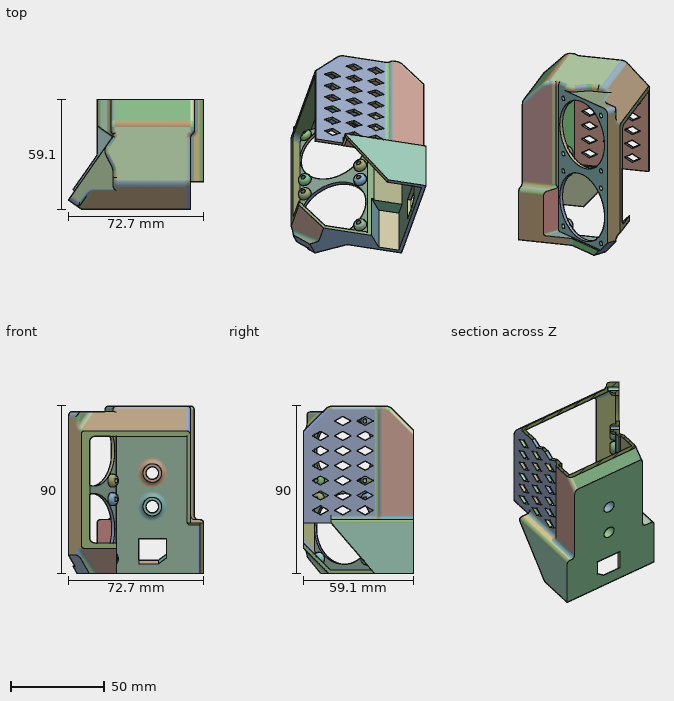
import cadquery as cq
import math

WALL = 2.0
OVER = 1.0
NEAR = 0.01

DEPTH = 59.1
HEIGHT = 90.0
FRONT_SHOULDER = 13.4
BACK_SHOULDER = 12.9
SHOULDER_ROUND = 5.0
SIDE_ROUND = 2.0
HOOD_BOTTOM = 27.2
HOOD_LEFT = 23.9
HOOD_RIGHT = 65.7
REAR_LEFT = 22.9
REAR_RIGHT = 67.7
REAR_FRONT_Y = 39.5
REAR_ROUND = 2.2
REAR_HOLLOW = 2.2
WALL_FOOT_ROUND = 2.0

BOX_LEFT = 15.4
BOX_RIGHT = 72.69
BOX_FRONT_Y = 14.8
BOX_SIDE_Y = 33.0
BOX_TOP = 29.1
BOX_CEILING = 26.1
BOX_ROUND = 2.0
BOX_INNER_ROUND = 1.0
BRACE_FOOT_Y = 38.2

PLATE_ANGLE = math.radians(55.0)
PLATE_END = (0.0, 5.0)
FAN_SIZE = 40.0
FAN_MARGIN = 1.6
FAN_SEAT_Z = 4.0
FAN_PITCH = 42.0
FAN_OPENING = 38.0
SCREW_PITCH = 32.0
SCREW_HOLE = 2.4
SCREW_BOSS = 7.0
SCREW_BOSS_HEIGHT = 3.0
SCREW_BOSS_ROUND = 2.0
FAN_ALONG = FAN_MARGIN + FAN_SIZE / 2
FAN_FAR_EDGE = FAN_MARGIN + FAN_SIZE
FAN_HEIGHTS = [FAN_SEAT_Z + FAN_SIZE / 2 + i * FAN_PITCH for i in range(2)]

DUCT_TOP = 87.0
DUCT_FRONT_CHAMFER = 13.6
DUCT_END_WALL = 2.5
DUCT_INNER_ROUND = 5.0
RIM_DEPTH = 6.8
RIM_COVE = 2.5
RIM_ROUND = 2.1
DUCT_TOP_ROUND = 1.5
END_CHAMFER = 10.0
END_ROUND = 3.0
LIP = 1.2
LIP_ROUND = 3.0
RECESS_ROUND = 1.0

SWELL_ROOT_Y = 17.0
SWELL_START_Y = 21.8
SWELL_APEX_Y = 31.8
SWELL_END_Y = 39.4
SWELL_CREST_ROUND = 5.5
SWELL_START_ROUND = 6.0

VENT_WIDTH = 8.7
VENT_HEIGHT = 4.8
VENT_COLUMNS = [9.1, 21.1, 33.1]
VENT_ROW_START = 34.0
VENT_ROW_PITCH = 8.0
VENT_ROWS = 7

STUD_X = 45.1
STUD_HEIGHTS = [36.0, 54.0]
STUD_DIAMETER = 10.0
STUD_HOLE = 6.6
STUD_FLARE = 3.0
STUD_HEIGHT = 7.0
PORT_LEFT, PORT_RIGHT = 37.9, 52.6
PORT_BOTTOM, PORT_TOP = 5.3, 18.7
PORT_CORNER_X, PORT_CORNER_Z = 4.2, 3.1


def plate_point(along, inward):
    """Plan position at a distance along the fan plate and behind its outer face."""
    c, s = math.cos(PLATE_ANGLE), math.sin(PLATE_ANGLE)
    return (PLATE_END[0] + along * c + inward * s, PLATE_END[1] + along * s - inward * c)


def plate_position(point):
    """Distances of a point along the fan plate and behind its outer face."""
    c, s = math.cos(PLATE_ANGLE), math.sin(PLATE_ANGLE)
    x, y = point.x - PLATE_END[0], point.y - PLATE_END[1]
    return (x * c + y * s, x * s - y * c)


def plate_plane(along, inward, z):
    """Plane parallel to the fan plate: local X along it, local Z pointing inwards."""
    x, y = plate_point(along, inward)
    c, s = math.cos(PLATE_ANGLE), math.sin(PLATE_ANGLE)
    return cq.Plane(origin=(x, y, z), xDir=(c, s, 0), normal=(s, -c, 0))


def prism_z(points, bottom, top):
    return cq.Workplane("XY").workplane(offset=bottom).polyline(points).close().extrude(top - bottom)


def prism_x(points, left, right):
    """Extrude an outline of (y, z) points from left to right."""
    return cq.Workplane("YZ").workplane(offset=left).polyline(points).close().extrude(right - left)


def block(x0, x1, y0, y1, z0, z1):
    return cq.Workplane("XY").box(x1 - x0, y1 - y0, z1 - z0, centered=False).translate((x0, y0, z0))


def hood_outline(inset, bottom, front_y):
    """(y, z) outline of the hood, moved inwards by a wall thickness."""
    slant = inset * math.sqrt(2)
    roof = HEIGHT - inset
    back = DEPTH - inset
    back_corner = DEPTH - BACK_SHOULDER + inset - slant
    outline = [(front_y, bottom)]
    start = FRONT_SHOULDER - HEIGHT + slant
    if front_y < start + roof:
        outline.append((front_y, front_y - start))
        outline.append((start + roof, roof))
    else:
        outline.append((front_y, roof))
    outline.append((back_corner, roof))
    outline.append((back, roof - (back - back_corner)))
    outline.append((back, bottom))
    return outline


def hood():
    right_step = REAR_RIGHT - HOOD_RIGHT
    left_step = HOOD_LEFT - REAR_LEFT
    rear_y = REAR_FRONT_Y + right_step
    plan = prism_z([(HOOD_LEFT, 0), (HOOD_RIGHT, 0), (HOOD_RIGHT, REAR_FRONT_Y), (REAR_RIGHT, rear_y),
                    (REAR_RIGHT, DEPTH), (REAR_LEFT, DEPTH), (REAR_LEFT, rear_y),
                    (HOOD_LEFT, rear_y - left_step)], HOOD_BOTTOM, HEIGHT)
    middle = HEIGHT / 2
    for x, y, radius in [(REAR_RIGHT, rear_y, REAR_ROUND), (REAR_LEFT, rear_y, REAR_ROUND),
                         (HOOD_RIGHT, REAR_FRONT_Y, REAR_HOLLOW)]:
        plan = plan.edges(cq.selectors.NearestToPointSelector((x, y, middle))).fillet(radius)

    profile = prism_x(hood_outline(0, HOOD_BOTTOM, 0), 0, BOX_RIGHT)
    for y in (FRONT_SHOULDER, DEPTH - BACK_SHOULDER):
        corner = (BOX_RIGHT / 2, y, HEIGHT)
        profile = profile.edges(cq.selectors.NearestToPointSelector(corner)).fillet(SHOULDER_ROUND)

    body = plan.intersect(profile)
    return body.newObject([e for e in body.edges().vals() if is_side_edge(e)]).fillet(SIDE_ROUND)


def is_side_edge(edge):
    """Edge along one end of the roof or of a shoulder."""
    box = edge.BoundingBox()
    side = box.xlen < HOOD_RIGHT - HOOD_LEFT - 2 * SIDE_ROUND
    upright = box.xlen < NEAR and box.ylen < NEAR
    return side and not upright and box.zmin > HEIGHT / 2


def roof_swelling():
    apex, end = [plate_point((y - PLATE_END[1]) / math.sin(PLATE_ANGLE), 0)
                 for y in (SWELL_APEX_Y, SWELL_END_Y)]
    start = (HOOD_LEFT, SWELL_START_Y)
    inner_x = HOOD_LEFT + 3 * SIDE_ROUND
    points = [(inner_x, SWELL_ROOT_Y), (HOOD_LEFT, SWELL_ROOT_Y), start, apex, end,
              (inner_x, SWELL_END_Y)]
    swelling = prism_z(points, DUCT_TOP - WALL, HEIGHT)
    for corner, radius in [(start, SWELL_START_ROUND), (apex, SWELL_CREST_ROUND)]:
        swelling = swelling.edges(cq.selectors.NearestToPointSelector(
            (*corner, DUCT_TOP))).fillet(radius)
    outer = swelling.faces(">Z").edges("not(>X)").edges("not(>Y)").edges("not(<Y)")
    return swelling.newObject(outer.vals()).fillet(SIDE_ROUND - NEAR)


def lower_box():
    inner_x = HOOD_LEFT + WALL + OVER
    points = [(BOX_LEFT, DEPTH), (BOX_RIGHT, DEPTH), (BOX_RIGHT, BOX_FRONT_Y),
              (inner_x, BOX_FRONT_Y), (inner_x, BOX_SIDE_Y), (BOX_LEFT, BOX_SIDE_Y)]
    box = prism_z(points, 0, BOX_TOP)
    return box.faces(">Z").edges("<X or >X").fillet(BOX_ROUND)


def walls():
    """Hood standing on the box, with a cove along the foot of its side walls."""
    body = hood().union(lower_box())
    feet = [e for e in body.edges("|Y").vals()
            if abs(e.Center().z - BOX_TOP) < NEAR
            and min(abs(e.Center().x - x) for x in (REAR_LEFT, REAR_RIGHT)) < NEAR]
    return body.newObject(feet).fillet(WALL_FOOT_ROUND)


def duct():
    right = HOOD_LEFT + WALL
    far = FAN_FAR_EDGE + WALL
    end_depth = PLATE_END[1] / math.cos(PLATE_ANGLE)
    far_y = plate_point(far, 0)[1]
    plan = [plate_point(0, 0), plate_point(far, 0), (right + OVER, far_y),
            (right + OVER, 0), plate_point(0, end_depth)]
    slope = DUCT_TOP - (HEIGHT - FRONT_SHOULDER)
    section = [(0, DUCT_FRONT_CHAMFER), (0, HEIGHT - FRONT_SHOULDER), (slope, DUCT_TOP),
               (DEPTH, DUCT_TOP), (DEPTH, 0), (DUCT_FRONT_CHAMFER, 0)]
    body = prism_z(plan, 0, DUCT_TOP).intersect(prism_x(section, -OVER, DEPTH))
    rim = prism_z([plate_point(0, 0), plate_point(far, 0),
                   plate_point(far, RIM_DEPTH), plate_point(0, RIM_DEPTH)], 0, DUCT_TOP)
    body = body.union(rim)
    body = body.newObject([e for e in body.edges().vals() if is_cove_edge(e)]).fillet(RIM_COVE)
    body = body.newObject([e for e in body.edges().vals() if is_rim_corner(e)]).fillet(RIM_ROUND)
    body = body.newObject([e for e in body.edges().vals() if is_roof_edge(e)]).fillet(DUCT_TOP_ROUND)
    body = body.union(lip())
    body = body.intersect(end_profile(far + WALL))
    return body.intersect(block(-OVER, right, -OVER, DEPTH, 0, HEIGHT))


def is_cove_edge(edge):
    """Slanting edge where the back of the rim meets a front chamfer."""
    a, b = edge.startPoint(), edge.endPoint()
    on_rim = all(abs(plate_position(p)[1] - RIM_DEPTH) < NEAR for p in (a, b))
    return on_rim and abs(a.z - b.z) > NEAR and abs(a.x - b.x) > NEAR


def is_rim_corner(edge):
    """Free upright edge of the rim, above or below the front opening."""
    along, inward = plate_position(edge.positionAt(0.5))
    return abs(along) < NEAR and abs(inward - RIM_DEPTH) < NEAR


def is_roof_edge(edge):
    """Edge of the duct roof on the side facing the hood."""
    middle = edge.positionAt(0.5)
    along, inward = plate_position(middle)
    level = abs(middle.z - DUCT_TOP) < NEAR and edge.BoundingBox().zlen < NEAR
    return level and along > NEAR and inward > WALL and middle.x < HOOD_LEFT + WALL


def end_profile(length):
    """Side shape of the plate end: lower corner cut off, upper corner rounded."""
    points = [(END_CHAMFER, 0), (0, END_CHAMFER), (0, DUCT_TOP), (length, DUCT_TOP), (length, 0)]
    depth = 4 * FAN_SIZE
    shape = cq.Workplane(plate_plane(0, -FAN_SIZE, 0)).polyline(points).close().extrude(depth)
    corner = plate_point(0, depth / 2 - FAN_SIZE)
    return shape.edges(cq.selectors.NearestToPointSelector((*corner, DUCT_TOP))).fillet(END_ROUND)


def lip():
    """Ledge below the fans, running from the free end of the plate to the box."""
    bend_along = (BOX_LEFT - plate_point(0, -LIP)[0]) / math.cos(PLATE_ANGLE)
    bend = plate_point(bend_along, -LIP)
    seat = prism_z([plate_point(0, -LIP), bend, (BOX_LEFT, DEPTH - WALL),
                    plate_point(FAN_FAR_EDGE, WALL), plate_point(0, WALL)], 0, FAN_SEAT_Z)
    return seat.edges(cq.selectors.NearestToPointSelector((*bend, FAN_SEAT_Z / 2))).fillet(LIP_ROUND)


def fan_recess():
    """Space in front of the fan plate that is kept free for the fans."""
    reach = FAN_SIZE
    recess = prism_z([plate_point(-reach, 0), plate_point(FAN_FAR_EDGE, 0),
                      plate_point(FAN_FAR_EDGE, -reach), plate_point(-reach, -reach)],
                     FAN_SEAT_Z, HEIGHT + OVER)
    foot = plate_point(FAN_FAR_EDGE, -reach / 2)
    return recess.edges(cq.selectors.NearestToPointSelector((*foot, FAN_SEAT_Z))).fillet(RECESS_ROUND)


def hood_cavity():
    front = prism_x(hood_outline(WALL, -OVER, -OVER), HOOD_LEFT + WALL, HOOD_RIGHT - WALL)
    rear = prism_x(hood_outline(WALL, BOX_CEILING, REAR_FRONT_Y + WALL),
                   REAR_LEFT + WALL, REAR_RIGHT - WALL)
    return front.union(rear)


def box_cavity():
    """Hollow of the box, with the sloping brace and the bevels under its roof."""
    far = FAN_FAR_EDGE + WALL
    left = BOX_LEFT + WALL
    right = BOX_RIGHT - WALL
    inner = plate_point(far, WALL)
    left_depth = (left - plate_point(far, 0)[0]) / math.sin(PLATE_ANGLE)
    back = DEPTH - WALL
    cavity = prism_z([inner, plate_point(far, left_depth), (left, back), (right, back),
                      (right, -OVER), (inner[0], -OVER)], -OVER, BOX_CEILING)
    cavity = cavity.edges("|Z and >X and >Y").fillet(BOX_INNER_ROUND)
    brace = prism_x([(0, HOOD_BOTTOM), (BOX_FRONT_Y, HOOD_BOTTOM), (BRACE_FOOT_Y, 0),
                     (BRACE_FOOT_Y, -OVER), (0, -OVER)], right, BOX_RIGHT + OVER)
    bevel_height = HOOD_BOTTOM - BOX_CEILING
    inner_x = HOOD_RIGHT - WALL
    bevel = (cq.Workplane("XZ", origin=(0, back, 0))
             .polyline([(inner_x, BOX_CEILING), (inner_x, HOOD_BOTTOM),
                        (inner_x + bevel_height, BOX_CEILING)]).close().extrude(DEPTH))
    front_bevel = prism_x([(BOX_FRONT_Y, BOX_CEILING), (BOX_FRONT_Y, HOOD_BOTTOM),
                           (BOX_FRONT_Y + bevel_height, BOX_CEILING)], inner_x, right)
    return cavity.union(brace).union(bevel).union(front_bevel)


def duct_cavity():
    far = FAN_FAR_EDGE
    front_depth = (plate_point(DUCT_END_WALL, 0)[1] + OVER) / math.cos(PLATE_ANGLE)
    far_x, far_y = plate_point(far, WALL)
    right = max(far_x, HOOD_LEFT + WALL) + OVER
    plan = [plate_point(DUCT_END_WALL, WALL), (far_x, far_y), (right, far_y), (right, -OVER),
            plate_point(DUCT_END_WALL, front_depth)]
    slant = WALL * math.sqrt(2)
    low = DUCT_FRONT_CHAMFER + slant
    high = HEIGHT - FRONT_SHOULDER - slant
    floor = WALL
    ceiling = DUCT_TOP - WALL
    section = [(-OVER, low + OVER), (-OVER, high - OVER), (ceiling - high, ceiling),
               (DEPTH, ceiling), (DEPTH, floor), (low - floor, floor)]
    cavity = prism_z(plan, 0, DUCT_TOP).intersect(prism_x(section, -OVER, DEPTH))
    corners = [e for e in cavity.edges().vals() if is_duct_corner(e)]
    return cavity.newObject(corners).fillet(DUCT_INNER_ROUND)


def is_duct_corner(edge):
    """Sloping edge where the end wall of the duct meets a front chamfer."""
    a, b = edge.startPoint(), edge.endPoint()
    on_end = all(abs(plate_position(p)[0] - DUCT_END_WALL) < NEAR for p in (a, b))
    return on_end and abs(a.z - b.z) > NEAR and abs(a.x - b.x) > NEAR


def fan_openings():
    cut = cq.Workplane("XY")
    for z in FAN_HEIGHTS:
        plane = plate_plane(FAN_ALONG, -OVER, z)
        cut = cut.add(cq.Workplane(plane).circle(FAN_OPENING / 2).extrude(WALL + 2 * OVER))
    return cut.combine()


def screw_bosses():
    bosses = cq.Workplane("XY")
    for z in FAN_HEIGHTS:
        bosses = bosses.add(
            cq.Workplane(plate_plane(FAN_ALONG, WALL / 2, z))
            .rect(SCREW_PITCH, SCREW_PITCH, forConstruction=True).vertices()
            .circle(SCREW_BOSS / 2).extrude(WALL / 2 + SCREW_BOSS_HEIGHT)
            .faces(cq.selectors.DirectionMinMaxSelector(plate_plane(0, 0, 0).zDir, True))
            .edges().fillet(SCREW_BOSS_ROUND))
    return bosses.combine().intersect(end_profile(FAN_FAR_EDGE))


def screw_holes(z):
    return (cq.Workplane(plate_plane(FAN_ALONG, -OVER, z))
            .rect(SCREW_PITCH, SCREW_PITCH, forConstruction=True).vertices()
            .circle(SCREW_HOLE / 2).extrude(2 * OVER + WALL + SCREW_BOSS_HEIGHT))


def vents():
    rows = [VENT_ROW_START + i * VENT_ROW_PITCH for i in range(VENT_ROWS)]
    w, h = VENT_WIDTH / 2, VENT_HEIGHT / 2
    cut = cq.Workplane("XY")
    for y in VENT_COLUMNS:
        for z in rows:
            if z + VENT_HEIGHT > HEIGHT - FRONT_SHOULDER + y:
                continue
            diamond = [(y - w, z), (y, z + h), (y + w, z), (y, z - h)]
            cut = cut.add(prism_x(diamond, HOOD_RIGHT - WALL - OVER, HOOD_RIGHT + OVER))
    return cut.combine()


def stud(z):
    """Flared stud on the inside of the back wall."""
    r = STUD_DIAMETER / 2
    top = WALL + STUD_HEIGHT
    return (cq.Workplane("XY").lineTo(r + STUD_FLARE, 0).lineTo(r + STUD_FLARE, WALL)
            .radiusArc((r, WALL + STUD_FLARE), STUD_FLARE)
            .lineTo(r, top)
            .lineTo(0, top).close()
            .revolve(360, (0, 0, 0), (0, 1, 0))
            .rotate((0, 0, 0), (0, 0, 1), 180)
            .translate((STUD_X, DEPTH, z)))


def stud_hole(z):
    return (cq.Workplane("XZ", origin=(STUD_X, DEPTH + OVER, z))
            .circle(STUD_HOLE / 2).extrude(2 * OVER + WALL + STUD_HEIGHT))


def port():
    """Opening whose lower sides rise towards the outside at 45 degrees."""
    def outline(rise):
        low = PORT_BOTTOM + rise
        return [(PORT_LEFT, low), (PORT_LEFT, PORT_TOP), (PORT_RIGHT, PORT_TOP),
                (PORT_RIGHT, low + PORT_CORNER_Z), (PORT_RIGHT - PORT_CORNER_X, low)]
    return (cq.Workplane("XZ", origin=(0, DEPTH, 0)).polyline(outline(WALL)).close()
            .workplane(offset=WALL).polyline(outline(0)).close().loft(ruled=True))


result = walls().union(roof_swelling()).cut(fan_recess()).union(duct())
result = result.cut(hood_cavity()).cut(box_cavity()).cut(duct_cavity())
result = result.cut(fan_openings()).union(screw_bosses())
for fan_z in FAN_HEIGHTS:
    result = result.cut(screw_holes(fan_z))
result = result.cut(vents()).cut(port())
for stud_z in STUD_HEIGHTS:
    result = result.union(stud(stud_z)).cut(stud_hole(stud_z))